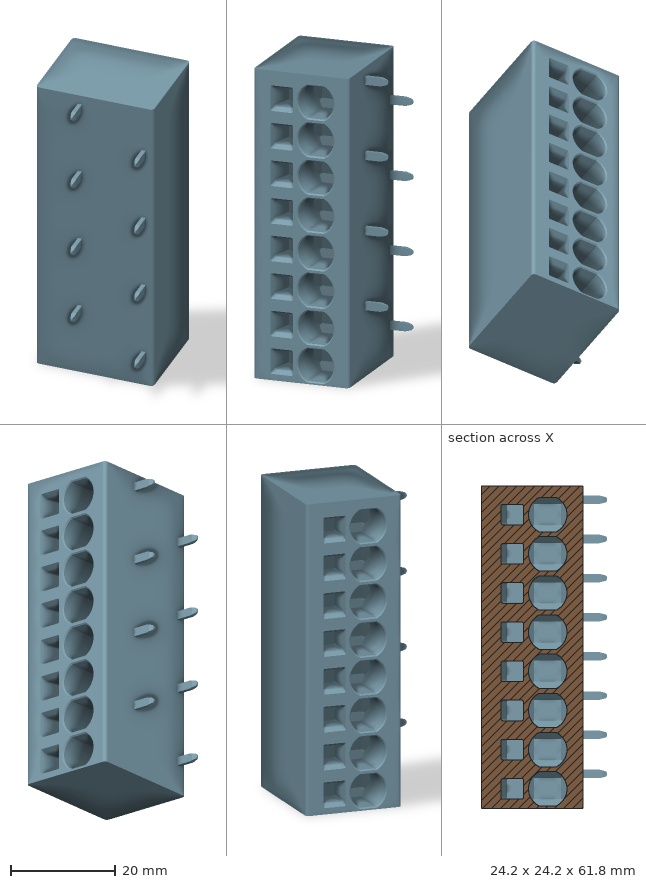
import math

import cadquery as cq

pole_count = 8
pitch = 7.5
end_wall_extra = 1.8
body_depth = 24.15
body_height = 19.6
body_length = pole_count * pitch + end_wall_extra
edge_radius = 0.7

first_pole_z = 3.8
entry_y = 6.83
entry_radius = 3.64
entry_half_flat = 3.23
entry_chamfer = 0.25
entry_chamfer_angle = 45
entry_straight_depth = 8.0
entry_wall_angle = 30
entry_floor_y = 5.2
entry_floor_z = 4.0

slot_low_y = 11.5
slot_high_y = 16.05
slot_floor_high_y = 14.6
slot_depth = 5.9
slot_mouth_z = 5.1
slot_throat_z = 3.8
slot_mouth_depth = 1.3
slot_corner_radius = 0.3
slot_mouth_blend = 1.0

pin_length = 4.6
pin_width_x = 0.85
pin_width_z = 1.65
pin_row_x = (22.2, 9.1)
first_pin_z = 6.6
pin_side_taper = 1.0
pin_tip_width_x = 0.35
pin_shoulder_taper = 1.5
pin_nose_taper = 0.3
pin_nose_width_z = 1.05


def make_body():
    """Housing block with its long corners rounded."""
    body = cq.Workplane("XY").rect(body_depth, body_height, centered=False).extrude(body_length)
    return body.edges("|Z").fillet(edge_radius)


def flattened_disc(radius, half_flat, x_start, depth, taper=0):
    """Disc along +X with flats on both Z sides, narrowing by the taper angle."""
    plane = cq.Workplane("YZ", origin=(x_start, 0, 0))
    disc = plane.circle(radius).extrude(depth, taper=taper)
    flats = plane.rect(2 * radius, 2 * half_flat).extrude(depth, taper=taper)
    return disc.intersect(flats)


def make_entry_cutter():
    """Wire-entry volume, centred on Y = Z = 0 with its mouth at X = 0."""
    mouth_radius = entry_radius + entry_chamfer
    mouth_half_flat = entry_half_flat + entry_chamfer
    mouth = flattened_disc(mouth_radius, mouth_half_flat, 0, entry_chamfer, taper=entry_chamfer_angle)
    straight = flattened_disc(entry_radius, entry_half_flat, 0, entry_straight_depth)

    wall_slope = math.tan(math.radians(entry_wall_angle))
    taper_depth = (entry_half_flat - entry_floor_z / 2) / wall_slope
    pyramid = (
        cq.Workplane("YZ", origin=(entry_straight_depth + taper_depth, 0, 0))
        .rect(entry_floor_y, entry_floor_z)
        .extrude(-taper_depth, taper=-entry_wall_angle)
    )
    sleeve = flattened_disc(entry_radius, entry_half_flat, entry_straight_depth, taper_depth)
    return mouth.union(straight).union(pyramid.intersect(sleeve))


def make_slot_cutter():
    """Release-slot volume, centred on its pole in Z."""
    height_profile = (
        cq.Workplane("XY", origin=(0, 0, -slot_mouth_z / 2))
        .moveTo(0, slot_low_y)
        .lineTo(slot_depth, slot_low_y)
        .lineTo(slot_depth, slot_floor_high_y)
        .lineTo(0, slot_high_y)
        .close()
        .extrude(slot_mouth_z)
    )
    funnel_profile = (
        cq.Workplane("XZ")
        .moveTo(0, -slot_mouth_z / 2)
        .lineTo(slot_mouth_depth, -slot_throat_z / 2)
        .lineTo(slot_depth, -slot_throat_z / 2)
        .lineTo(slot_depth, slot_throat_z / 2)
        .lineTo(slot_mouth_depth, slot_throat_z / 2)
        .lineTo(0, slot_mouth_z / 2)
        .close()
        .extrude(-body_height)
    )
    mouth_bends = cq.selectors.BoxSelector(
        (slot_mouth_depth / 2, 0, -slot_mouth_z), (slot_depth / 2, body_height, slot_mouth_z)
    )
    funnel_profile = funnel_profile.edges("|Y").edges(mouth_bends).fillet(slot_mouth_blend)
    cutter = height_profile.intersect(funnel_profile)
    return cutter.edges("not(<X or >X or |Y)").fillet(slot_corner_radius)


def make_pin():
    """Solder pin pointing along -Y from the board face, centred on X = Z = 0."""
    half_x = pin_width_x / 2
    half_tip_x = pin_tip_width_x / 2
    side_y = pin_side_taper - pin_length
    front_outline = (
        cq.Workplane("XY", origin=(0, 0, -pin_width_z / 2))
        .polyline(
            [
                (-half_x, 0),
                (-half_x, side_y),
                (-half_tip_x, -pin_length),
                (half_tip_x, -pin_length),
                (half_x, side_y),
                (half_x, 0),
            ]
        )
        .close()
        .extrude(pin_width_z)
    )
    half_z = pin_width_z / 2
    half_nose_z = pin_nose_width_z / 2
    nose_y = pin_nose_taper - pin_length
    shoulder_y = pin_shoulder_taper - pin_length
    side_outline = (
        cq.Workplane("YZ", origin=(-half_x, 0, 0))
        .moveTo(0, -half_z)
        .lineTo(shoulder_y, -half_z)
        .lineTo(nose_y, -half_nose_z)
        .threePointArc((-pin_length, 0), (nose_y, half_nose_z))
        .lineTo(shoulder_y, half_z)
        .lineTo(0, half_z)
        .close()
        .extrude(pin_width_x)
    )
    return front_outline.intersect(side_outline)


result = make_body()
entry_cutter = make_entry_cutter()
slot_cutter = make_slot_cutter()
pin = make_pin()
for pole in range(pole_count):
    pole_z = first_pole_z + pole * pitch
    result = result.cut(entry_cutter.translate((0, entry_y, pole_z)))
    result = result.cut(slot_cutter.translate((0, 0, pole_z)))
    pin_x = pin_row_x[pole % len(pin_row_x)]
    result = result.union(pin.translate((pin_x, 0, first_pin_z + pole * pitch)))